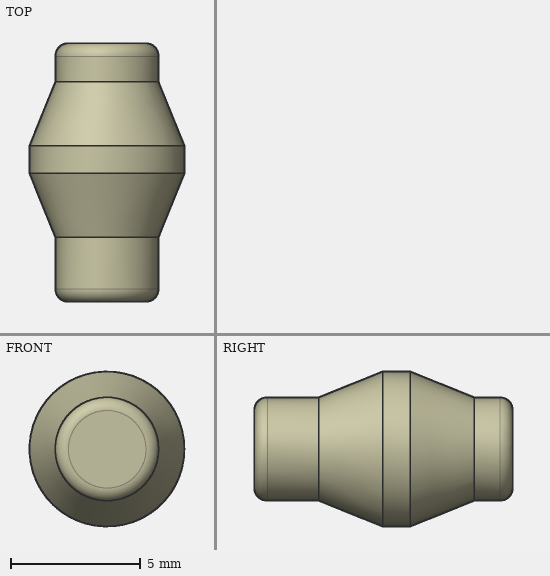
import cadquery as cq

length = 10.0
end_radius = 2.0
belly_radius = 3.0
end_rounding = 0.5

front_neck_length = 2.5
back_neck_length = 1.5
belly_length = 1.06
cone_length = (length - front_neck_length - back_neck_length - belly_length) / 2

front_end = -length / 2
front_cone_start = front_end + front_neck_length
belly_start = front_cone_start + cone_length
belly_end = belly_start + belly_length
back_cone_end = belly_end + cone_length
back_end = length / 2

profile = (
    cq.Workplane("XY")
    .moveTo(0, front_end)
    .lineTo(end_radius, front_end)
    .lineTo(end_radius, front_cone_start)
    .lineTo(belly_radius, belly_start)
    .lineTo(belly_radius, belly_end)
    .lineTo(end_radius, back_cone_end)
    .lineTo(end_radius, back_end)
    .lineTo(0, back_end)
    .close()
)
body = profile.revolve(360, (0, 0, 0), (0, 1, 0))

result = body.faces("<Y or >Y").edges().fillet(end_rounding)